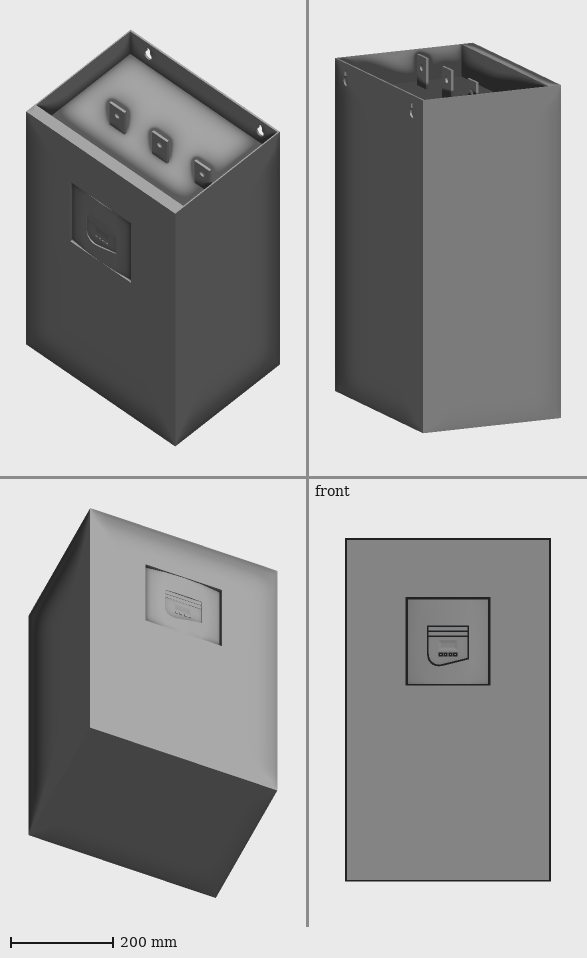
import cadquery as cq
import math

width = 400.0
depth = 300.0
height = 670.0
front_y = -depth / 2
back_y = depth / 2
top_z = height / 2

side_wall = 3.0
back_wall = 4.0
front_wall = 26.0
bay_depth = 65.0
bay_floor_z = top_z - bay_depth

terminal_width = 40.0
terminal_thickness = 5.5
terminal_height = 62.0
terminal_pitch = 114.0
terminal_count = 3
middle_terminal_x = 35.5
terminal_y = -17.0
terminal_hole_diameter = 13.5
terminal_hole_drop = 23.0

keyhole_x = 150.0
keyhole_z = top_z - 35.5
keyhole_diameter = 20.0
keyhole_slot_width = 11.0
keyhole_slot_rise = 16.0

recess_width = 163.0
recess_bottom_z = 49.0
recess_height = 171.0
recess_depth = 13.5
recess_floor_y = front_y + recess_depth

panel_gap = 2.0
panel_width = recess_width - 2 * panel_gap
panel_height = recess_height - panel_gap
panel_crown_y = front_y
panel_edge_y = front_y + 6.0

keypad_width = 78.5
keypad_top_z = 164.0
keypad_step_drop = 10.0
keypad_step_depths = [2.0, 3.0, 3.5]
keypad_right_bottom_z = 100.5
keypad_left_bottom_z = 81.0
keypad_corner_radius = 21.5
keypad_floor_y = panel_crown_y + keypad_step_depths[-1]

display_width = 37.5
display_height = 20.0
display_z = 126.5
display_depth = 1.0
display_border = 5.5
display_taper = math.degrees(math.atan(display_border / display_depth))

button_size = 5.5
button_rise = 1.5
button_pitch = 9.5
button_count = 4
button_z = 108.5


def front_plane(y):
    """Sketch plane at depth y whose local axes are X and Z and whose normal is -Y."""
    return cq.Workplane("XZ", origin=(0, y, 0))


def row_positions(count, pitch, middle):
    """Evenly spaced positions about a middle value."""
    return [middle + (i - (count - 1) / 2) * pitch for i in range(count)]


def wiring_bay():
    bay_length = depth - front_wall - back_wall
    return (
        cq.Workplane("XY", origin=(0, front_y + front_wall + bay_length / 2, bay_floor_z))
        .rect(width - 2 * side_wall, bay_length)
        .extrude(bay_depth)
    )


def terminal(x):
    hole_z = bay_floor_z + terminal_height - terminal_hole_drop
    back_face_y = terminal_y + terminal_thickness / 2
    bar = (
        front_plane(back_face_y)
        .center(x, bay_floor_z + terminal_height / 2)
        .rect(terminal_width, terminal_height)
        .extrude(terminal_thickness)
    )
    hole = (
        front_plane(back_face_y)
        .center(x, hole_z)
        .circle(terminal_hole_diameter / 2)
        .extrude(terminal_thickness)
    )
    return bar.cut(hole)


def keyhole(x):
    head = front_plane(back_y).center(x, keyhole_z).circle(keyhole_diameter / 2).extrude(back_wall)
    slot = (
        front_plane(back_y)
        .center(x, keyhole_z + keyhole_slot_rise / 2)
        .slot2D(keyhole_slot_rise + keyhole_slot_width, keyhole_slot_width, 90)
        .extrude(back_wall)
    )
    return head.union(slot)


def panel_recess():
    return (
        front_plane(recess_floor_y)
        .center(0, recess_bottom_z + recess_height / 2)
        .rect(recess_width, recess_height)
        .extrude(recess_depth)
    )


def make_housing():
    housing = cq.Workplane("XY").box(width, depth, height).cut(wiring_bay()).cut(panel_recess())
    for x in (-keyhole_x, keyhole_x):
        housing = housing.cut(keyhole(x))
    for x in row_positions(terminal_count, terminal_pitch, middle_terminal_x):
        housing = housing.union(terminal(x))
    return housing


def panel_blank():
    """Flat-backed plate whose front bows out about a vertical axis."""
    half_width = panel_width / 2
    return (
        cq.Workplane("XY", origin=(0, 0, recess_bottom_z))
        .moveTo(-half_width, recess_floor_y)
        .lineTo(-half_width, panel_edge_y)
        .threePointArc((0, panel_crown_y), (half_width, panel_edge_y))
        .lineTo(half_width, recess_floor_y)
        .close()
        .extrude(panel_height)
    )


def keypad_pocket():
    half_width = keypad_width / 2
    pocket = (
        front_plane(keypad_floor_y)
        .moveTo(-half_width, keypad_top_z)
        .lineTo(half_width, keypad_top_z)
        .lineTo(half_width, keypad_right_bottom_z)
        .lineTo(-half_width, keypad_left_bottom_z)
        .close()
        .extrude(keypad_step_depths[-1])
        .edges("|Y and <X and <Z")
        .fillet(keypad_corner_radius)
    )
    for i, step_depth in enumerate(keypad_step_depths[:-1]):
        step = (
            front_plane(keypad_floor_y)
            .center(0, keypad_top_z - (i + 0.5) * keypad_step_drop)
            .rect(keypad_width, keypad_step_drop)
            .extrude(keypad_step_depths[-1] - step_depth)
        )
        pocket = pocket.cut(step)
    return pocket


def display_window():
    return (
        front_plane(keypad_floor_y)
        .center(0, display_z)
        .rect(display_width, display_height)
        .extrude(-display_depth, taper=display_taper)
    )


def button(x):
    return (
        front_plane(keypad_floor_y)
        .center(x, button_z)
        .rect(button_size, button_size)
        .extrude(button_rise)
    )


def make_panel():
    panel = panel_blank().cut(keypad_pocket()).cut(display_window())
    for x in row_positions(button_count, button_pitch, 0):
        panel = panel.union(button(x))
    return panel


housing = make_housing()
panel = make_panel()

result = cq.Compound.makeCompound([*housing.solids().vals(), *panel.solids().vals()])